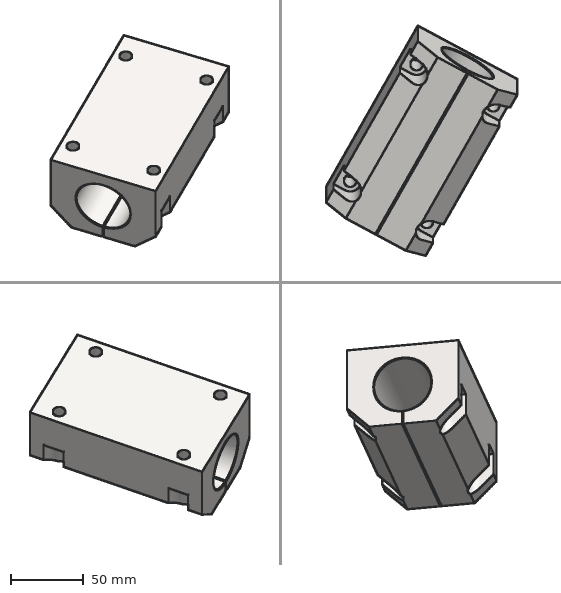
import cadquery as cq

WIDTH = 78.0
LENGTH = 130.0
HEIGHT = 60.0
BEVEL = 15.5

BORE_DIAMETER = 40.0
BORE_CHAMFER = 0.5
SLIT_WIDTH = 1.0

BOLT_SPACING_X = 60.0
BOLT_SPACING_Y = 94.0
BOLT_DIAMETER = 8.6
POCKET_WIDTH = 15.0
POCKET_HEIGHT = 31.0


def make_block():
    """Rectangular block with both lower long edges bevelled."""
    block = cq.Workplane("XY").box(WIDTH, LENGTH, HEIGHT)
    return block.faces("<Z").edges("|Y").chamfer(BEVEL)


def make_bore():
    """Through bore along Y, widened by a small chamfer at both ends."""
    radius = BORE_DIAMETER / 2
    mouth_radius = radius + BORE_CHAMFER
    half_length = LENGTH / 2
    chamfer_start = half_length - BORE_CHAMFER
    profile = (
        cq.Workplane("XY")
        .moveTo(0, -half_length)
        .lineTo(mouth_radius, -half_length)
        .lineTo(radius, -chamfer_start)
        .lineTo(radius, chamfer_start)
        .lineTo(mouth_radius, half_length)
        .lineTo(0, half_length)
        .close()
    )
    return profile.revolve(360, (0, 0, 0), (0, 1, 0))


def make_slit():
    """Clamping slit from the bore down through the underside."""
    slit_height = HEIGHT / 2
    slit = cq.Workplane("XY").box(SLIT_WIDTH, LENGTH, slit_height)
    return slit.translate((0, 0, -slit_height / 2))


def make_bolt_cut(side_x, side_y):
    """Bolt hole with a round-ended head pocket that opens to the side of the block."""
    x = side_x * BOLT_SPACING_X / 2
    y = side_y * BOLT_SPACING_Y / 2
    bottom = cq.Workplane("XY", origin=(x, y, -HEIGHT / 2))
    hole = bottom.circle(BOLT_DIAMETER / 2).extrude(HEIGHT)
    pocket_end = bottom.circle(POCKET_WIDTH / 2).extrude(POCKET_HEIGHT)
    opening_depth = WIDTH / 2 - abs(x)
    opening_centre = bottom.center(side_x * opening_depth / 2, 0)
    opening = opening_centre.rect(opening_depth, POCKET_WIDTH).extrude(POCKET_HEIGHT)
    return hole.union(pocket_end).union(opening)


result = make_block().cut(make_bore()).cut(make_slit())
for side_x in (-1, 1):
    for side_y in (-1, 1):
        result = result.cut(make_bolt_cut(side_x, side_y))